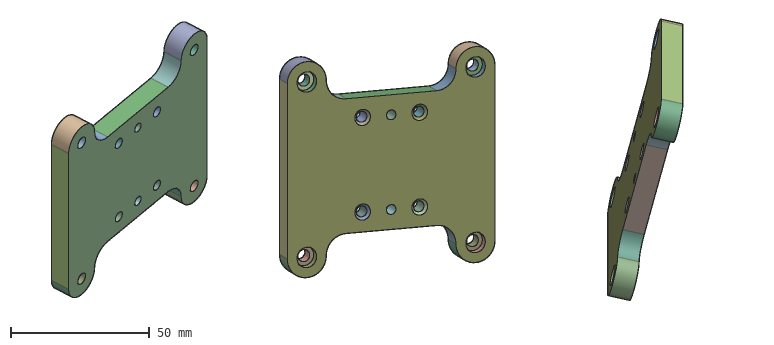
import cadquery as cq

side = 80.0
thickness = 8.0
ear_radius = 7.5
half_side = side / 2
ear_offset = half_side - ear_radius
notch_depth = 2 * ear_radius
notch_width = side - 4 * ear_radius

ear_hole_diameter = 4.5
ear_bore_diameter = 7.5
ear_bore_depth = 3.0

row_height = 17.5
mount_spacing = 22.0
mount_hole_diameter = 4.0
mount_sink_diameter = 6.0
mount_sink_angle = 90.0
middle_hole_diameter = 3.6


def make_plate():
    """Square plate notched at top and bottom, leaving four rounded ears."""
    body = cq.Workplane("YZ").rect(side, 2 * ear_offset).extrude(thickness)
    notches = (
        cq.Workplane("YZ")
        .pushPoints([(0, half_side), (0, -half_side)])
        .rect(notch_width, 2 * notch_depth)
        .extrude(thickness)
        .edges("|X")
        .fillet(ear_radius)
    )
    ears = (
        cq.Workplane("YZ")
        .rect(2 * ear_offset, 2 * ear_offset, forConstruction=True)
        .vertices()
        .circle(ear_radius)
        .extrude(thickness)
    )
    return body.cut(notches).union(ears).clean()


def front_face(plate):
    """Workplane on the -X face, centred on the plate."""
    return plate.faces("<X").workplane(origin=(0, 0, 0))


def drill_ear_holes(plate):
    """Counterbored through hole in the centre of each ear."""
    return (
        front_face(plate)
        .rect(2 * ear_offset, 2 * ear_offset, forConstruction=True)
        .vertices()
        .cboreHole(ear_hole_diameter, ear_bore_diameter, ear_bore_depth)
    )


def drill_mount_holes(plate):
    """Countersunk through holes at the ends of both central rows."""
    return (
        front_face(plate)
        .rect(mount_spacing, 2 * row_height, forConstruction=True)
        .vertices()
        .cskHole(mount_hole_diameter, mount_sink_diameter, mount_sink_angle)
    )


def drill_middle_holes(plate):
    """Plain through hole in the middle of each central row."""
    return (
        front_face(plate)
        .pushPoints([(0, row_height), (0, -row_height)])
        .hole(middle_hole_diameter)
    )


result = make_plate()
result = drill_ear_holes(result)
result = drill_mount_holes(result)
result = drill_middle_holes(result)